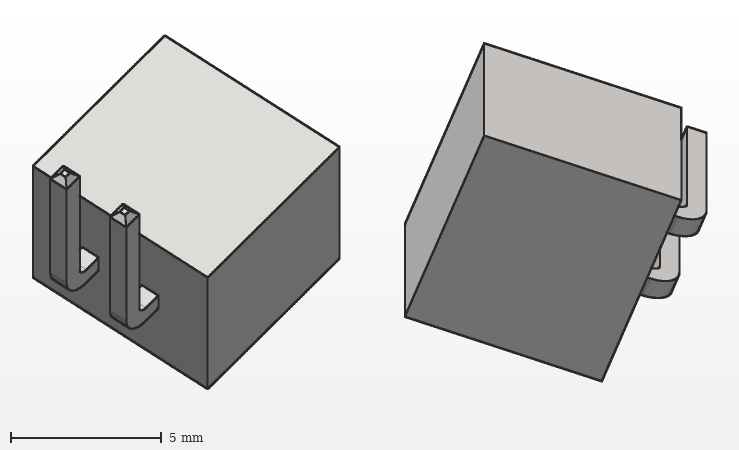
import cadquery as cq

body_width = 7.44
body_depth = 7.0
body_height = 6.11

pin_size = 0.7
pin_pitch = 2.54
pin_reach = 1.7
pin_bottom = 2.69
pin_top = 9.1
bend_inner_radius = 0.35
bend_outer_radius = bend_inner_radius + pin_size
tip_chamfer = 0.24


def make_housing():
    """Plain block with its front face on Y = 0 and its base on Z = 0."""
    return cq.Workplane("XY").box(body_width, body_depth, body_height, centered=(True, False, False))


def make_pin(x):
    """Pin that leaves the front face, bends upward and ends in a chamfered tip."""
    outer_y = -pin_reach
    inner_y = outer_y + pin_size
    bend_y = outer_y + bend_outer_radius
    bend_z = pin_bottom + bend_outer_radius
    pin = (
        cq.Workplane("YZ", origin=(x, 0, 0))
        .moveTo(0, pin_bottom)
        .lineTo(bend_y, pin_bottom)
        .radiusArc((outer_y, bend_z), bend_outer_radius)
        .lineTo(outer_y, pin_top)
        .lineTo(inner_y, pin_top)
        .lineTo(inner_y, bend_z)
        .radiusArc((bend_y, pin_bottom + pin_size), -bend_inner_radius)
        .lineTo(0, pin_bottom + pin_size)
        .close()
        .extrude(pin_size / 2, both=True)
    )
    return pin.faces(">Z").chamfer(tip_chamfer)


result = make_housing()
for side in (-1, 1):
    result = result.union(make_pin(side * pin_pitch / 2))